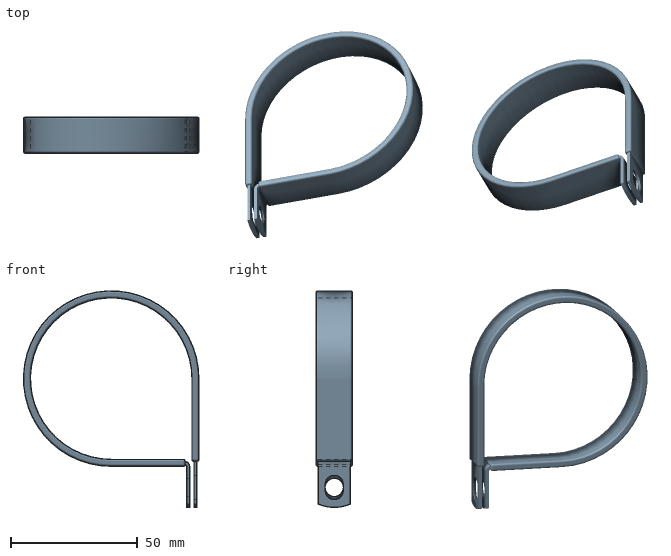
import cadquery as cq
import math

inner_diameter = 63.5
strip_thickness = 1.2192
strip_width = 12.7
cushion_wall = 0.79375
tab_gap = 2 * cushion_wall
bend_inner_radius = 1.0
cushion_to_bent_tab = strip_thickness / 2
tab_end_z = -50.725
tab_end_radius = 15.875
hole_diameter = 7.14
hole_to_tab_end = 7.9
slot_extra_length = 2.4

loop_radius = inner_diameter / 2
strip_inner_radius = loop_radius + cushion_wall
strip_outer_radius = strip_inner_radius + strip_thickness
cushion_outer_radius = strip_outer_radius + cushion_wall
cushion_width = strip_width + 2 * cushion_wall

bent_tab_outer_x = strip_inner_radius - tab_gap
bent_tab_inner_x = bent_tab_outer_x - strip_thickness
bend_start_x = bent_tab_inner_x - bend_inner_radius
leg_cushion_end_x = bent_tab_inner_x - cushion_to_bent_tab
bend_outer_radius = bend_inner_radius + strip_thickness
cushion_end_z = -strip_inner_radius
slot_length = hole_diameter + slot_extra_length
hole_z = tab_end_z + hole_to_tab_end


def extrude_centered(profile, width):
    """Extrude an XZ profile symmetrically about the XZ plane."""
    return profile.extrude(width / 2, both=True)


def diagonal_point(radius):
    """Middle of the three-quarter ring, up and to the -X side."""
    offset = radius * math.sqrt(0.5)
    return (-offset, offset)


def loop_profile(inner_radius, outer_radius, bottom_end_x, side_end_z):
    """Three-quarter ring with a straight leg along the bottom and one down the +X side."""
    return (
        cq.Workplane("XZ")
        .moveTo(outer_radius, side_end_z)
        .lineTo(outer_radius, 0)
        .threePointArc(diagonal_point(outer_radius), (0, -outer_radius))
        .lineTo(bottom_end_x, -outer_radius)
        .lineTo(bottom_end_x, -inner_radius)
        .lineTo(0, -inner_radius)
        .threePointArc(diagonal_point(inner_radius), (inner_radius, 0))
        .lineTo(inner_radius, side_end_z)
        .close()
    )


def end_corner_edges(x_range, z_range):
    """Selector for the straight cushion edges along Y within a span of X and Z, with a margin."""
    span = cq.selectors.BoxSelector(
        (x_range[0] - cushion_wall, -cushion_width, z_range[0] - cushion_wall),
        (x_range[1] + cushion_wall, cushion_width, z_range[1] + cushion_wall),
    )
    return cq.selectors.AndSelector(span, cq.selectors.ParallelDirSelector(cq.Vector(0, 1, 0)))


def make_cushion():
    """Jacket around the strip with every outside edge rounded."""
    profile = loop_profile(loop_radius, cushion_outer_radius, leg_cushion_end_x, cushion_end_z)
    body = extrude_centered(profile, cushion_width)
    leg_end = end_corner_edges((leg_cushion_end_x, leg_cushion_end_x), (-cushion_outer_radius, -loop_radius))
    side_end = end_corner_edges((loop_radius, cushion_outer_radius), (cushion_end_z, cushion_end_z))
    body = body.edges(cq.selectors.SumSelector(leg_end, side_end)).fillet(cushion_wall)
    return body.faces("<Y or >Y").edges().fillet(cushion_wall)


def make_bent_tab():
    """Strip bend at the end of the bottom leg and the tab hanging from it."""
    bend_center_z = -strip_outer_radius - bend_inner_radius
    profile = (
        cq.Workplane("XZ")
        .moveTo(0, -strip_inner_radius)
        .lineTo(bend_start_x, -strip_inner_radius)
        .radiusArc((bent_tab_outer_x, bend_center_z), bend_outer_radius)
        .lineTo(bent_tab_outer_x, tab_end_z)
        .lineTo(bent_tab_inner_x, tab_end_z)
        .lineTo(bent_tab_inner_x, bend_center_z)
        .radiusArc((bend_start_x, -strip_outer_radius), -bend_inner_radius)
        .lineTo(0, -strip_outer_radius)
        .close()
    )
    return extrude_centered(profile, strip_width)


def make_straight_tab():
    """Strip that carries straight on down from the +X side leg."""
    return cq.Workplane("XY").box(
        strip_thickness, strip_width, -tab_end_z, centered=(False, True, False)
    ).translate((strip_inner_radius, 0, tab_end_z))


def round_tab_end(tab):
    """Keep only what lies above the shallow arc at the lower end of a tab."""
    half_width = cushion_width / 2
    arc_drop = tab_end_radius - math.sqrt(tab_end_radius**2 - half_width**2)
    keep = (
        cq.Workplane("YZ")
        .moveTo(-half_width, cushion_outer_radius)
        .lineTo(-half_width, tab_end_z + arc_drop)
        .threePointArc((0, tab_end_z), (half_width, tab_end_z + arc_drop))
        .lineTo(half_width, cushion_outer_radius)
        .close()
        .extrude(cushion_outer_radius, both=True)
    )
    return tab.intersect(keep)


def cut_screw_hole(tab):
    """Round hole along X for the screw."""
    drill = (
        cq.Workplane("YZ")
        .center(0, hole_z)
        .circle(hole_diameter / 2)
        .extrude(cushion_outer_radius)
    )
    return tab.cut(drill)


def cut_screw_slot(tab):
    """Upright slot along X, as wide as the screw hole and level with it."""
    slot = (
        cq.Workplane("YZ")
        .center(0, hole_z)
        .slot2D(slot_length, hole_diameter, 90)
        .extrude(cushion_outer_radius)
    )
    return tab.cut(slot)


bent_tab = cut_screw_hole(round_tab_end(make_bent_tab()))
straight_tab = cut_screw_slot(round_tab_end(make_straight_tab()))
result = make_cushion().union(bent_tab).union(straight_tab)